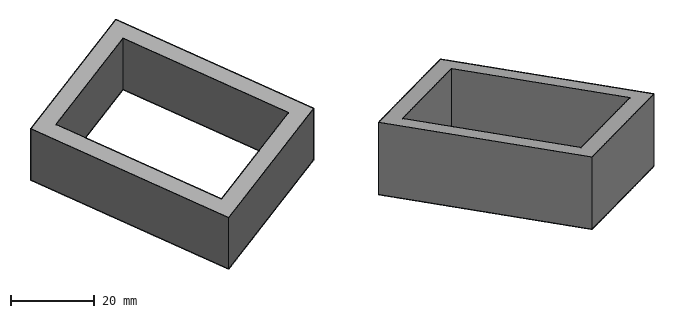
import cadquery as cq

length = 55.0
width = 40.0
height = 19.0

end_wall = 4.5
side_wall = 4.25
opening_length = length - 2 * end_wall
opening_width = width - 2 * side_wall

result = (
    cq.Workplane("XY")
    .box(length, width, height)
    .faces(">Z")
    .workplane()
    .rect(opening_length, opening_width)
    .cutThruAll()
)